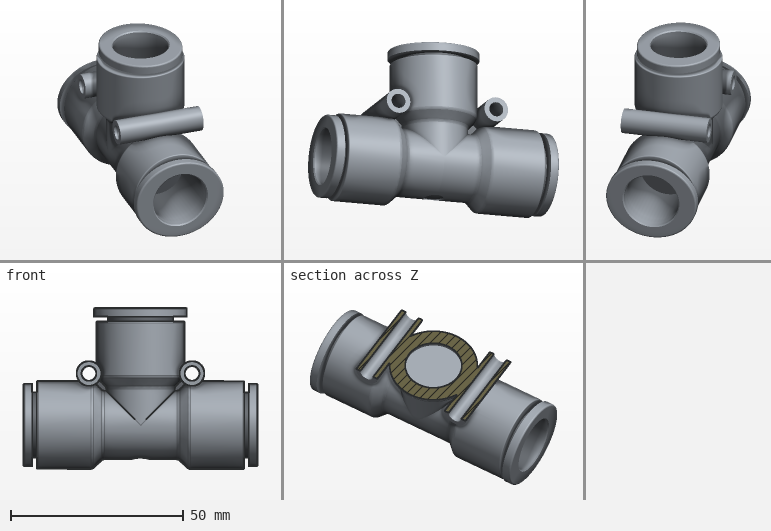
import cadquery as cq
import math

port_reach = 34.0
body_radius = 12.8
body_end = 30.05
body_edge_fillet = 0.35

waist_radius = 10.0
cone_outer = 14.0
cone_inner = 11.0
cone_fillet = 1.2

neck_radius = 9.5
flange_thickness = 2.5
flange_long = 27.0
flange_short = 24.0
flange_edge_fillet = 0.5

bore_radius = 8.15
bore_depth = port_reach - cone_outer
bore_chamfer = 0.35

lug_offset = 14.95
lug_radius = 3.6
lug_hole_radius = 2.1
lug_length = 2 * body_radius

web_thickness = 1.5

recess_radius = 3.0
recess_depth = 0.7


def make_body():
    """Socket body along +Z, starting at the origin."""
    profile = [
        (0, 0),
        (waist_radius, 0),
        (waist_radius, cone_inner),
        (body_radius, cone_outer),
        (body_radius, body_end),
        (0, body_end),
    ]
    body = cq.Workplane("XZ").polyline(profile).close().revolve(360, (0, 0), (0, 1))
    body = body.faces(">Z").edges().fillet(body_edge_fillet)
    cone_edges = body.faces("%CONE").edges("%CIRCLE")
    return cone_edges.fillet(cone_fillet)


def make_sleeve():
    """Neck and oval flange along +Z, with the long side of the oval along Y."""
    neck = (
        cq.Workplane("XY")
        .workplane(offset=cone_outer)
        .circle(neck_radius)
        .extrude(port_reach - flange_thickness - cone_outer)
    )
    flange = (
        cq.Workplane("XY")
        .workplane(offset=port_reach - flange_thickness)
        .ellipse(flange_short / 2, flange_long / 2)
        .extrude(flange_thickness)
        .faces(">Z")
        .edges()
        .fillet(flange_edge_fillet)
    )
    return neck.union(flange)


def make_bore():
    """Blind bore along +Z with a chamfered mouth."""
    profile = [
        (0, port_reach - bore_depth),
        (bore_radius, port_reach - bore_depth),
        (bore_radius, port_reach - bore_chamfer),
        (bore_radius + bore_chamfer, port_reach),
        (0, port_reach),
    ]
    return cq.Workplane("XZ").polyline(profile).close().revolve(360, (0, 0), (0, 1))


def on_all_ports(shape):
    """Copies of a +Z port shape for the left, right and top ports."""
    left = shape.rotate((0, 0, 0), (0, 1, 0), -90)
    right = shape.rotate((0, 0, 0), (0, 1, 0), 90)
    top = shape.rotate((0, 0, 0), (0, 0, 1), 90)
    return [left, right, top]


def lug_cylinder(side, radius):
    """Full-length cylinder along Y at the lug on the given side (-1 or 1)."""
    return (
        cq.Workplane("XZ")
        .center(side * lug_offset, lug_offset)
        .circle(radius)
        .extrude(lug_length / 2, both=True)
    )


def make_web(side):
    """Diagonal web from the origin to the lug axis."""
    length = lug_offset * math.sqrt(2)
    web = cq.Workplane("XY").box(length, web_thickness, web_thickness, centered=(False, True, True))
    angle = -45 if side > 0 else -135
    return web.rotate((0, 0, 0), (0, 1, 0), angle)


def make_recess():
    """Flat-bottomed disc cut upward into the lowest line of the waist."""
    return cq.Workplane("XY").workplane(offset=-waist_radius).circle(recess_radius).extrude(recess_depth)


tee = cq.Workplane("XY")
for port_solid in on_all_ports(make_body()) + on_all_ports(make_sleeve()):
    tee = tee.union(port_solid)

for side in (-1, 1):
    tee = tee.union(lug_cylinder(side, lug_radius)).union(make_web(side))

for bore in on_all_ports(make_bore()):
    tee = tee.cut(bore)

for side in (-1, 1):
    tee = tee.cut(lug_cylinder(side, lug_hole_radius))

result = tee.cut(make_recess())